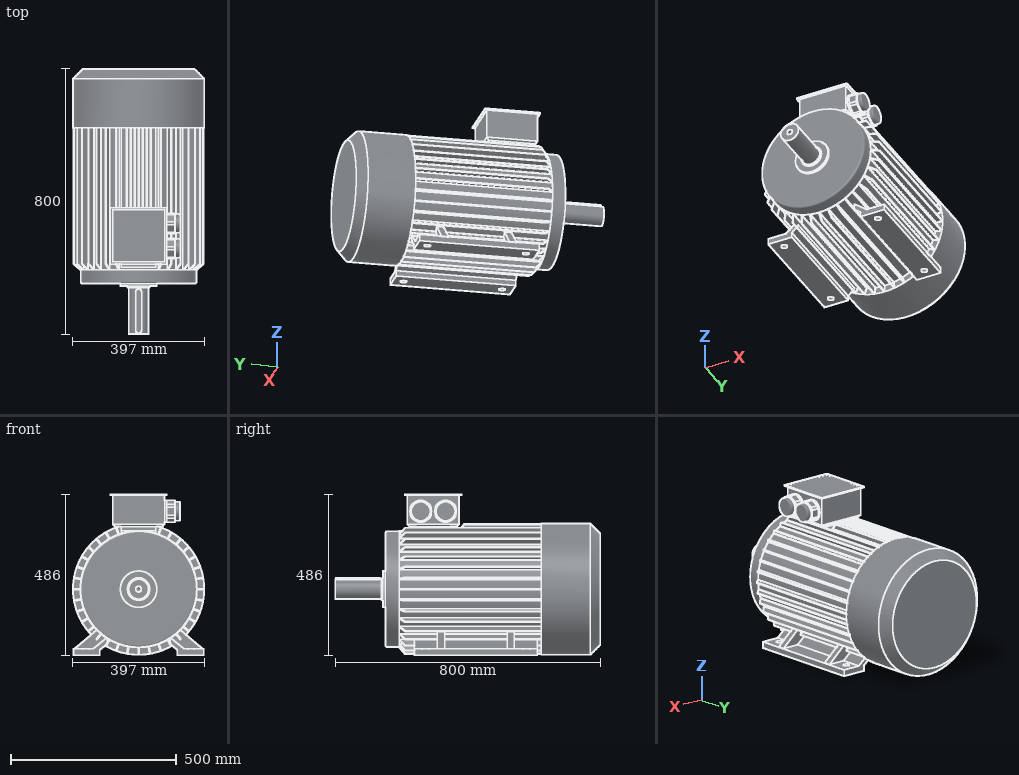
import cadquery as cq
import math


SHAFT_DIA = 60
SHAFT_LENGTH = 140
CENTRE_HOLE_DIA = 17.29
CENTRE_HOLE_DEPTH = 50
DRILL_POINT_ANGLE = 118
KEY_WIDTH = 18
KEY_LENGTH = 133
KEY_PROTRUSION = 4
KEY_START_Y = -4.5
COLLAR_DIA = 67
COLLAR_FACE_DIA = 65

CAP_DIA = 110
CAP_FRONT_Y = 4.5
SHIELD_DIA = 350
SHIELD_FRONT_Y = 12
SHIELD_FILLET = 6

FRAME_DIA = 352
FRAME_FRONT_Y = 53.5
FIN_THICKNESS = 3
FIN_OUTER_RADIUS = 197
FIN_TAPER_LENGTH = 18
FIN_PITCH_ANGLE = 10
FIN_GAP_HALF_ANGLE = 15

COVER_DIA = 397
COVER_FRONT_Y = 482.5
COVER_REAR_Y = 660
COVER_CHAMFER = 30

PAD_WIDTH = 104
PAD_FRONT_Y = 61
PAD_TOP_Z = 176.5
PAD_FIN_COUNT = 7
PAD_FIN_PITCH = 12
PAD_FIN_FRONT_Y = 232

BOX_CENTRE_Y = 156
BOX_TOP_Z = 286
LID_SIZE = 171
LID_THICKNESS = 3
BOX_SIZE = 157
BOX_BOTTOM_Z = 196
NECK_SIZE = PAD_WIDTH
BASE_SIZE = 143
BASE_BOTTOM_Z = 189

GLAND_SPACING = 75
GLAND_Z = 235
GLAND_WASHER_DIA = 65
GLAND_HEX_FLATS = 62
GLAND_CORNER_DIA = 67
GLAND_HEX_CHAMFER = 1.5
GLAND_NOSE_DIA = 57.49
GLAND_NOSE_FILLET = 4
GLAND_WASHER_LENGTH = 6
GLAND_HEX_LENGTH = 25.5
GLAND_NOSE_LENGTH = 15.5

SHAFT_HEIGHT = 200
FOOT_OUTER_X = 197
FOOT_INNER_X = 116.5
FOOT_THICKNESS = 20
FOOT_LENGTH = 371
FOOT_CENTRE_Y = 285
WEB_ANGLE = 39
WEB_TOP_X = 137.5
WEB_BOTTOM_Z = -183
RIB_ANGLE = 40
RIB_OUTER_X = 194
RIB_WIDTH = 22
RIB_SPACING = 210
HOLE_DIA = 19
HOLE_SPACING_X = 318
HOLE_SPACING_Y = 305

FRAME_RADIUS = FRAME_DIA / 2
ROOT_OVERLAP = 6


def cylinder_y(diameter, y_start, y_end):
    """Cylinder about the motor axis between two Y positions."""
    plane = cq.Workplane("XZ", origin=(0, y_start, 0))
    return plane.circle(diameter / 2).extrude(y_start - y_end)


def make_body():
    """Fan cover, frame core, end shield and bearing cap."""
    cover = cylinder_y(COVER_DIA, COVER_FRONT_Y, COVER_REAR_Y).faces(">Y").chamfer(COVER_CHAMFER)
    frame = cylinder_y(FRAME_DIA, FRAME_FRONT_Y, COVER_FRONT_Y)
    shield = cylinder_y(SHIELD_DIA, SHIELD_FRONT_Y, FRAME_FRONT_Y).faces("<Y").edges().fillet(SHIELD_FILLET)
    cap = cylinder_y(CAP_DIA, CAP_FRONT_Y, SHIELD_FRONT_Y)
    return cover.union(frame).union(shield).union(cap)


def make_shaft():
    """Shaft extension with seal collar, key and drilled centre hole."""
    collar_chamfer = (COLLAR_DIA - COLLAR_FACE_DIA) / 2
    collar = cylinder_y(COLLAR_DIA, 0, CAP_FRONT_Y).faces("<Y").chamfer(collar_chamfer)
    shaft = cylinder_y(SHAFT_DIA, -SHAFT_LENGTH, 0).union(collar)
    key_centre_y = KEY_START_Y - KEY_LENGTH / 2
    key = (
        cq.Workplane("XY", origin=(0, key_centre_y, 0))
        .slot2D(KEY_LENGTH, KEY_WIDTH, 90)
        .extrude(SHAFT_DIA / 2 + KEY_PROTRUSION)
    )
    hole_radius = CENTRE_HOLE_DIA / 2
    hole_bottom_y = CENTRE_HOLE_DEPTH - SHAFT_LENGTH
    point_length = hole_radius / math.tan(math.radians(DRILL_POINT_ANGLE / 2))
    centre_hole = (
        cq.Workplane("XY")
        .moveTo(0, -SHAFT_LENGTH)
        .lineTo(hole_radius, -SHAFT_LENGTH)
        .lineTo(hole_radius, hole_bottom_y)
        .lineTo(0, hole_bottom_y + point_length)
        .close()
        .revolve(360, (0, 0, 0), (0, 1, 0))
    )
    return shaft.union(key).cut(centre_hole)


def make_fin(front_y):
    """Upright fin on top of the frame, tapered down to the frame at its front end."""
    inner_radius = FRAME_RADIUS - ROOT_OVERLAP
    return (
        cq.Workplane("YZ", origin=(-FIN_THICKNESS / 2, 0, 0))
        .moveTo(front_y, inner_radius)
        .lineTo(front_y, FRAME_RADIUS)
        .lineTo(front_y + FIN_TAPER_LENGTH, FIN_OUTER_RADIUS)
        .lineTo(COVER_FRONT_Y, FIN_OUTER_RADIUS)
        .lineTo(COVER_FRONT_Y, inner_radius)
        .close()
        .extrude(FIN_THICKNESS)
    )


def add_radial_fins(body):
    """Fins all round the frame, leaving out the top where the pad sits."""
    fin = make_fin(FRAME_FRONT_Y)
    for i in range(360 // FIN_PITCH_ANGLE):
        angle = i * FIN_PITCH_ANGLE
        if FIN_GAP_HALF_ANGLE < angle < 360 - FIN_GAP_HALF_ANGLE:
            body = body.union(fin.rotate((0, 0, 0), (0, 1, 0), angle))
    return body


def make_pad():
    """Flat pad carrying parallel fins whose tops follow the outer fin circle."""
    pad_length = COVER_FRONT_Y - PAD_FRONT_Y
    pad = (
        cq.Workplane("XY", origin=(0, PAD_FRONT_Y + pad_length / 2, 0))
        .rect(PAD_WIDTH, pad_length)
        .extrude(PAD_TOP_Z)
    )
    middle = (PAD_FIN_COUNT - 1) / 2
    for i in range(PAD_FIN_COUNT):
        fin_x = (i - middle) * PAD_FIN_PITCH
        fin_drop = FIN_OUTER_RADIUS - math.sqrt(FIN_OUTER_RADIUS**2 - fin_x**2)
        pad = pad.union(make_fin(PAD_FIN_FRONT_Y).translate((fin_x, 0, -fin_drop)))
    return pad


def make_terminal_box():
    """Terminal box with lid, tapered base and a neck down to the pad."""

    def level(z):
        return cq.Workplane("XY", origin=(0, BOX_CENTRE_Y, z))

    neck_bottom_z = PAD_TOP_Z - ROOT_OVERLAP
    neck = level(neck_bottom_z).rect(NECK_SIZE, NECK_SIZE).extrude(BASE_BOTTOM_Z - neck_bottom_z)
    base = (
        level(BASE_BOTTOM_Z)
        .rect(BASE_SIZE, BASE_SIZE)
        .workplane(offset=BOX_BOTTOM_Z - BASE_BOTTOM_Z)
        .rect(BOX_SIZE, BOX_SIZE)
        .loft()
    )
    lid_bottom_z = BOX_TOP_Z - LID_THICKNESS
    box = level(BOX_BOTTOM_Z).rect(BOX_SIZE, BOX_SIZE).extrude(lid_bottom_z - BOX_BOTTOM_Z)
    lid = level(lid_bottom_z).rect(LID_SIZE, LID_SIZE).extrude(LID_THICKNESS)
    return neck.union(base).union(box).union(lid)


def make_gland(y):
    """Cable gland: round washer, hexagon with turned-down corners, round nose."""
    washer_x = BOX_SIZE / 2
    hex_x = washer_x + GLAND_WASHER_LENGTH
    nose_x = hex_x + GLAND_HEX_LENGTH

    def station(x):
        return cq.Workplane("YZ", origin=(x, y, GLAND_Z))

    across_corners = GLAND_HEX_FLATS / math.cos(math.pi / 6)
    washer = station(washer_x).circle(GLAND_WASHER_DIA / 2).extrude(GLAND_WASHER_LENGTH)
    hexagon = station(hex_x).transformed(rotate=(0, 0, 90)).polygon(6, across_corners)
    hexagon = hexagon.extrude(GLAND_HEX_LENGTH)
    hexagon = hexagon.intersect(station(hex_x).circle(GLAND_CORNER_DIA / 2).extrude(GLAND_HEX_LENGTH))
    hexagon = hexagon.faces(">X").chamfer(GLAND_HEX_CHAMFER)
    nose = station(nose_x).circle(GLAND_NOSE_DIA / 2).extrude(GLAND_NOSE_LENGTH)
    nose = nose.faces(">X").edges().fillet(GLAND_NOSE_FILLET)
    return washer.union(hexagon).union(nose)


def make_foot():
    """Foot on the +X side: base plate, sloping web, two ribs and two bolt holes."""
    plate_top_z = FOOT_THICKNESS - SHAFT_HEIGHT
    web_slope = math.tan(math.radians(WEB_ANGLE))
    rib_slope = math.tan(math.radians(RIB_ANGLE))
    web_end_x = 95
    rib_end_x = 120

    def section(length, centre_y):
        return cq.Workplane("XZ", origin=(0, centre_y + length / 2, 0))

    foot = (
        section(FOOT_LENGTH, FOOT_CENTRE_Y)
        .moveTo(FOOT_INNER_X, -SHAFT_HEIGHT)
        .lineTo(FOOT_OUTER_X, -SHAFT_HEIGHT)
        .lineTo(FOOT_OUTER_X, plate_top_z)
        .lineTo(WEB_TOP_X, plate_top_z)
        .lineTo(web_end_x, plate_top_z + (WEB_TOP_X - web_end_x) * web_slope)
        .lineTo(web_end_x, WEB_BOTTOM_Z + (FOOT_INNER_X - web_end_x) * web_slope)
        .lineTo(FOOT_INNER_X, WEB_BOTTOM_Z)
        .close()
        .extrude(FOOT_LENGTH)
    )
    for side in (-1, 1):
        rib = (
            section(RIB_WIDTH, FOOT_CENTRE_Y + side * RIB_SPACING / 2)
            .moveTo(RIB_OUTER_X, plate_top_z)
            .lineTo(rib_end_x, plate_top_z + (RIB_OUTER_X - rib_end_x) * rib_slope)
            .lineTo(web_end_x, plate_top_z + (WEB_TOP_X - web_end_x) * web_slope)
            .lineTo(WEB_TOP_X, plate_top_z)
            .close()
            .extrude(RIB_WIDTH)
        )
        foot = foot.union(rib)
    holes = (
        cq.Workplane("XY", origin=(HOLE_SPACING_X / 2, FOOT_CENTRE_Y, -SHAFT_HEIGHT))
        .pushPoints([(0, -HOLE_SPACING_Y / 2), (0, HOLE_SPACING_Y / 2)])
        .circle(HOLE_DIA / 2)
        .extrude(FOOT_THICKNESS)
    )
    return foot.cut(holes)


result = add_radial_fins(make_body())
result = result.union(make_shaft())
result = result.union(make_pad())
result = result.union(make_terminal_box())
for gland_side in (-1, 1):
    result = result.union(make_gland(BOX_CENTRE_Y + gland_side * GLAND_SPACING / 2))
right_foot = make_foot()
result = result.union(right_foot).union(right_foot.mirror("YZ"))